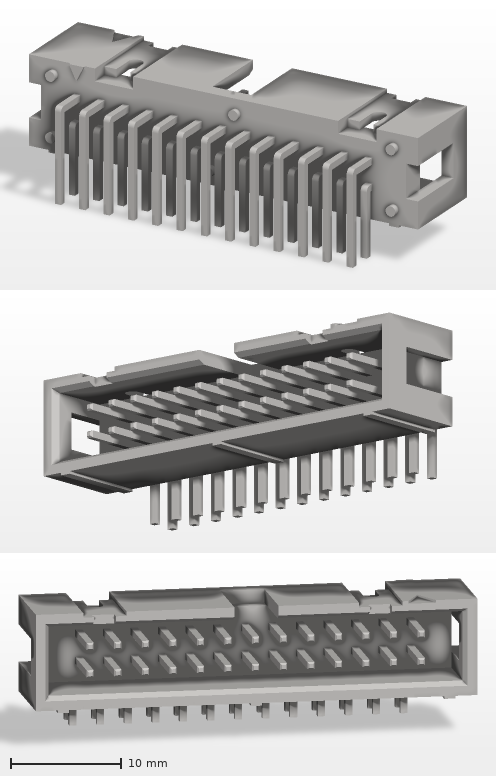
import cadquery as cq


length = 40.65
depth = 8.95
height = 8.95
wall = 1.25
base_thickness = 2.55
lead_in_length = 0.7
lead_in_height = 0.35

columns = 13
row_length = 30.5
pitch = row_length / (columns - 1)
pin_width = 0.65
pin_tip_gap = 0.25
pin_tip_length = 0.25
pin_tip_width = 0.35
pin_bend_radius = 0.5
tail_bottom = -3.45
upper_tail_reach = 3.58

window_height = 3.45
window_reach = 6.5

channel_centers = (-4.5 * pitch, 5.5 * pitch)
channel_width = 4.0
channel_depth = 0.4
step_length = 1.7
slot_width = 1.45
slot_reach = 4.67
mouth_notch_width = 2.05
mouth_notch_depth = 0.95

key_width = 4.05
key_front = 1.5

peg_diameter = 1.0
peg_length = 0.6
middle_peg_length = 0.5
peg_offset_z = 3.0
peg_end_x = 7 * pitch
rib_width = 1.0
rib_height = 0.25

front_mark_width = 1.55
front_mark_height = 1.55
front_mark_relief = 0.25
top_mark_width = 2.5
top_mark_length = 2.6
top_mark_depth = 0.25

mid_z = height / 2
first_pin_x = -row_length / 2


def block(x_center, x_size, y_range, z_range):
    """Box centred on x_center and spanning the given Y and Z ranges."""
    y_low, y_high = y_range
    z_low, z_high = z_range
    return (
        cq.Workplane("XY")
        .box(x_size, y_high - y_low, z_high - z_low, centered=(True, False, False))
        .translate((x_center, y_low, z_low))
    )


def make_cavity():
    """Rectangular cavity, flared at the mouth by a lead-in on all four sides."""
    cavity_length = length - 2 * wall
    cavity_height = height - 2 * wall
    straight = block(0, cavity_length, (base_thickness, depth), (wall, height - wall))
    flare = (
        cq.Workplane("XZ", origin=(0, depth, mid_z))
        .rect(cavity_length + 2 * lead_in_height, cavity_height + 2 * lead_in_height)
        .workplane(offset=lead_in_length)
        .rect(cavity_length, cavity_height)
        .loft()
    )
    return straight.union(flare)


def make_window(side):
    """Opening through one end wall; in front of the cavity it leaves a pocket in the base."""
    return block(
        side * (length - wall) / 2,
        wall,
        (0, window_reach),
        (mid_z - window_height / 2, mid_z + window_height / 2),
    )


def make_latch_channel(x):
    """Shallow channel with a deep front step, a round-ended slot and a notch at the mouth."""
    wall_span = (height - wall, height)
    slot_radius = slot_width / 2
    slot_end = slot_reach - slot_radius
    channel = block(x, channel_width, (0, depth), (height - channel_depth, height))
    step = block(x, channel_width, (0, step_length), wall_span)
    slot = block(x, slot_width, (0, slot_end), wall_span)
    slot_round = (
        cq.Workplane("XY", origin=(x, slot_end, height - wall)).circle(slot_radius).extrude(wall)
    )
    mouth_notch = block(x, mouth_notch_width, (depth - mouth_notch_depth, depth), wall_span)
    return channel.union(step).union(slot).union(slot_round).union(mouth_notch)


def make_top_mark():
    """Engraved triangle on the top face, pointing from the mouth edge to pin 1."""
    half = top_mark_width / 2
    return (
        cq.Workplane("XY", origin=(first_pin_x, depth, height - top_mark_depth))
        .polyline([(-half, 0), (half, 0), (0, -top_mark_length)])
        .close()
        .extrude(top_mark_depth)
    )


def make_front_mark():
    """Raised triangle on the front face, pointing down to pin 1."""
    half = front_mark_width / 2
    return (
        cq.Workplane("XZ", origin=(first_pin_x, 0, height))
        .polyline([(-half, 0), (half, 0), (0, -front_mark_height)])
        .close()
        .extrude(front_mark_relief)
    )


def make_peg(x, z, peg_reach):
    return cq.Workplane("XZ", origin=(x, 0, z)).circle(peg_diameter / 2).extrude(peg_reach)


def make_pin(x, z, tail_reach):
    """Square pin along Y at height z, tapered at the mouth end and bent down into a tail.

    The outer face of the tail is at y = -tail_reach.
    """
    half = pin_width / 2
    tip_y = depth - pin_tip_gap
    taper_start = tip_y - pin_tip_length
    contact = block(x, pin_width, (-tail_reach, taper_start), (z - half, z + half))
    tail = block(x, pin_width, (-tail_reach, pin_width - tail_reach), (tail_bottom, z + half))
    bent_pin = contact.union(tail).edges("|X and <Y and >Z").fillet(pin_bend_radius)
    tip = (
        cq.Workplane("XZ", origin=(x, tip_y, z))
        .rect(pin_tip_width, pin_tip_width)
        .workplane(offset=pin_tip_length)
        .rect(pin_width, pin_width)
        .loft()
    )
    return bent_pin.union(tip)


result = block(0, length, (0, depth), (0, height)).cut(make_cavity())
for end in (-1, 1):
    result = result.cut(make_window(end))
for channel_x in channel_centers:
    result = result.cut(make_latch_channel(channel_x))
result = result.cut(block(0, key_width, (key_front, depth), (height - wall, height)))
result = result.cut(make_top_mark()).union(make_front_mark())

upper_peg_z = mid_z + peg_offset_z
lower_peg_z = mid_z - peg_offset_z
for peg_x in (-peg_end_x, peg_end_x):
    result = result.union(make_peg(peg_x, upper_peg_z, peg_length))
    result = result.union(make_peg(peg_x, lower_peg_z, peg_length))
result = result.union(make_peg(pitch / 2, upper_peg_z, middle_peg_length))
result = result.union(make_peg(-pitch / 2, lower_peg_z, peg_length))
for rib_x in (-peg_end_x, 0, peg_end_x):
    result = result.union(block(rib_x, rib_width, (0, depth), (-rib_height, 0)))

for column in range(columns):
    pin_x = first_pin_x + column * pitch
    result = result.union(make_pin(pin_x, mid_z + pitch / 2, upper_tail_reach))
    result = result.union(make_pin(pin_x, mid_z - pitch / 2, upper_tail_reach - pitch))